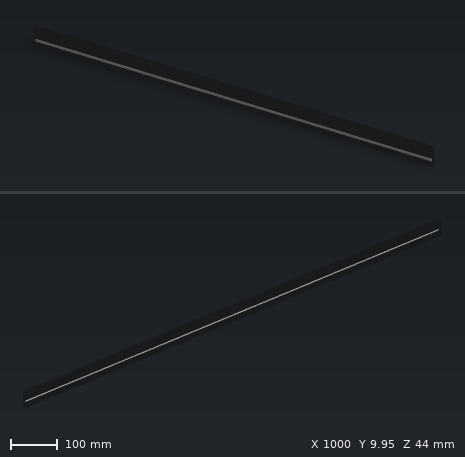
import cadquery as cq

length = 1000.0
depth = 9.95
height = 44.0

web_thickness = 2.0
relief_height = 9.8
relief_depth = 0.25
groove_width = 1.0
groove_depth = groove_width / 2

leg_thickness = 1.0
leg_inner_z = 16.65
tip_width = 1.1

back_y = depth / 2
front_y = -depth / 2
web_front_y = back_y - web_thickness
leg_outer_z = leg_inner_z + leg_thickness
tip_radius = tip_width / 2
tip_top_z = leg_outer_z + tip_radius
tip_middle_y = front_y + tip_radius


def bar(y_start, y_end, z_start, z_end):
    """Full-length bar filling the given Y and Z ranges."""
    return (
        cq.Workplane("YZ", origin=(-length / 2, 0, 0))
        .moveTo(y_start, z_start)
        .lineTo(y_end, z_start)
        .lineTo(y_end, z_end)
        .lineTo(y_start, z_end)
        .close()
        .extrude(length)
    )


def web():
    """Flat plate with a shallow relief along its back and a V-groove along its front."""
    plate = bar(web_front_y, back_y, -height / 2, height / 2)
    relief = bar(back_y - relief_depth, back_y, -relief_height / 2, relief_height / 2)
    groove = (
        cq.Workplane("YZ", origin=(-length / 2, 0, 0))
        .moveTo(web_front_y, -groove_width / 2)
        .lineTo(web_front_y + groove_depth, 0)
        .lineTo(web_front_y, groove_width / 2)
        .close()
        .extrude(length)
    )
    return plate.cut(relief).cut(groove)


def upper_leg():
    """Thin leg reaching forward from the web, ending in a half-round bead on its outer side."""
    return (
        cq.Workplane("YZ", origin=(-length / 2, 0, 0))
        .moveTo(web_front_y, leg_inner_z)
        .lineTo(front_y, leg_inner_z)
        .lineTo(front_y, leg_outer_z)
        .threePointArc((tip_middle_y, tip_top_z), (front_y + tip_width, leg_outer_z))
        .lineTo(web_front_y, leg_outer_z)
        .close()
        .extrude(length)
    )


leg = upper_leg()
result = web().union(leg).union(leg.mirror("XY"))